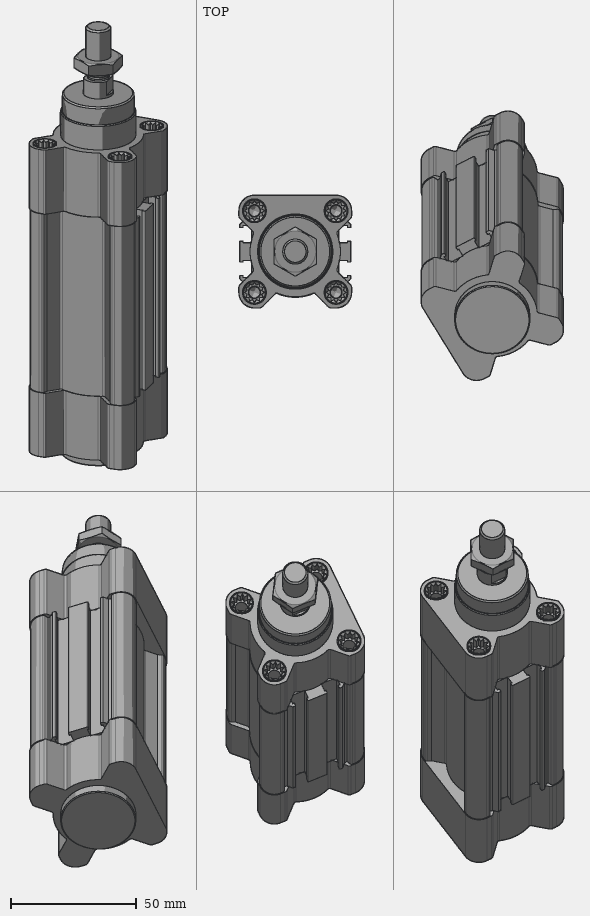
import cadquery as cq
import math


rear_collar_height = 4.0
head_height = 27.9
barrel_height = 78.0
front_collar_height = 10.6
cap_height = 7.6
rod_shoulder_rise = 7.1
stud_length = 22.0

rear_head_z = rear_collar_height
barrel_z = rear_head_z + head_height
front_head_z = barrel_z + barrel_height
front_face_z = front_head_z + head_height
cap_z = front_face_z + front_collar_height
cap_top_z = cap_z + cap_height
shoulder_z = cap_top_z + rod_shoulder_rise
rod_top_z = shoulder_z + stud_length

head_core_dia = 36.0
barrel_core_dia = 36.5
bolt_offset = 16.25

head_width = 45.0
head_corner_radius = head_width / 2 - bolt_offset
head_wedge_start = head_corner_radius * math.sqrt(2)
head_wedge_fillet = 1.5
head_core_fillet = 1.0

barrel_width = 44.3
barrel_half = barrel_width / 2
barrel_corner_radius = barrel_half - bolt_offset
barrel_wedge_start = 6.5
barrel_core_fillet = 1.0
groove_root = 13.6
groove_edge = 14.5
groove_edge_fillet = 1.0
groove_root_out = groove_root + barrel_wedge_start

slot_floor = 17.4
slot_lip = 1.4
slot_mouth_inner = 4.2
slot_mouth_outer = 9.5
slot_edge_fillet = 0.3
slot_undercut_inner = 3.6
slot_undercut_outer = 10.3
lip_edge = 10.8
lip_root = 12.5

collar_dia = 30.0
collar_chamfer = 0.4
cap_end_dia = 28.6
cap_mid_dia = 29.0
cap_chamfer = 0.6

screw_rim_dia = 9.5
screw_head_dia = 8.65
screw_rim_depth = 0.6
spline_entry_depth = 1.0
spline_count = 12
spline_tip_dia = 8.0
spline_root_dia = 6.0
spline_depth = 5.0
thread_bore_dia = 4.92
thread_bore_depth = 8.0
drill_tip_dia = 4.46
drill_tip_depth = 1.3

rod_dia = 12.0
stud_dia = 10.0
stud_tip_dia = 8.57
relief_dia = 8.2
relief_flare_dia = 8.8
relief_flare_height = 0.5
relief_height = 1.4
stud_runout_height = 1.7
flat_width = 10.0
flat_height = 6.0

nut_across_flats = 17.0
nut_across_corners = nut_across_flats / math.cos(math.pi / 6)
nut_height = 5.0
nut_gap = 4.0
nut_face_dia = 16.4
nut_chamfer_angle = 17.0
nut_z = shoulder_z + nut_gap


pick_reach = 0.2
pick_height = barrel_height


def disc(dia, height, z):
    return cq.Workplane("XY", origin=(0, 0, z)).circle(dia / 2).extrude(height)


def rounded_square(width, radius, height, z):
    block = cq.Workplane("XY", origin=(0, 0, z)).rect(width, width).extrude(height)
    return block.edges("|Z").fillet(radius)


def prism_from(points, height, z):
    """Upright prism from (x, y) points; side cutters are drawn on the +Y side."""
    return cq.Workplane("XY", origin=(0, 0, z)).polyline(points).close().extrude(height)


def turned(body, angle):
    return body.rotate((0, 0, 0), (0, 0, 1), angle)


def fillet_upright_edges(body, points, side_angles, radius, z):
    """Fillet the upright edges passing through the +Y side points turned to each side."""
    selected = None
    for angle in side_angles:
        c = math.cos(math.radians(angle))
        s = math.sin(math.radians(angle))
        for across, out in points:
            x = across * c - out * s
            y = across * s + out * c
            box = cq.selectors.BoxSelector((x - pick_reach, y - pick_reach, z - pick_height),
                                           (x + pick_reach, y + pick_reach, z + pick_height))
            selected = box if selected is None else selected + box
    return body.edges("|Z").edges(selected).fillet(radius)


def both_hands(point):
    return [point, (-point[0], point[1])]


def wedge_core_crossing(wedge_start, core_dia):
    """Point where a 45 degree wedge flank meets the round core."""
    radius = core_dia / 2
    across = (math.sqrt(2 * radius**2 - wedge_start**2) - wedge_start) / 2
    return across, across + wedge_start


FRONT, BACK, LEFT, RIGHT = 180, 0, 90, -90


def make_head(z):
    """Square head with its front, left and right sides recessed to the round core."""
    sides = (FRONT, LEFT, RIGHT)
    half = head_width / 2
    wedge = prism_from([(0, head_wedge_start), (half, head_wedge_start + half),
                        (-half, head_wedge_start + half)], head_height, z)
    recess = wedge.cut(disc(head_core_dia, head_height, z))
    head = rounded_square(head_width, head_corner_radius, head_height, z)
    for angle in sides:
        head = head.cut(turned(recess, angle))
    mid_z = z + head_height / 2
    flank_edge = (half - head_wedge_start, half)
    head = fillet_upright_edges(head, both_hands(flank_edge), sides, head_wedge_fillet, mid_z)
    core_edge = wedge_core_crossing(head_wedge_start, head_core_dia)
    return fillet_upright_edges(head, both_hands(core_edge), sides, head_core_fillet, mid_z)


def make_slot_side():
    """Cutters for one slotted side: two undercut sensor slots and two corner grooves."""
    lip_z = barrel_half - slot_lip
    mouth = [(slot_mouth_inner, slot_floor), (slot_mouth_inner, barrel_half),
             (slot_mouth_outer, barrel_half), (slot_mouth_outer, slot_floor)]
    undercut = [(slot_undercut_inner, slot_floor), (slot_undercut_inner, lip_z),
                (slot_undercut_outer, lip_z), (slot_undercut_outer, slot_floor)]
    groove = [(lip_edge, barrel_half), (lip_root, barrel_half - (lip_root - lip_edge)),
              (groove_root, groove_root_out), (groove_edge, barrel_half)]
    cutter = cq.Workplane("XY")
    for outline in (mouth, undercut, groove):
        prism = prism_from(outline, barrel_height, barrel_z)
        cutter = cutter.add(prism).add(prism.mirror("YZ"))
    return cutter.combine()


def make_barrel():
    """Barrel profile: front and back recessed to the core, sensor slots left and right."""
    open_sides = (FRONT, BACK)
    slot_sides = (LEFT, RIGHT)
    wedge = prism_from([(0, barrel_wedge_start), (groove_root, groove_root_out),
                        (groove_edge, barrel_half), (-groove_edge, barrel_half),
                        (-groove_root, groove_root_out)], barrel_height, barrel_z)
    recess = wedge.cut(disc(barrel_core_dia, barrel_height, barrel_z))
    slots = make_slot_side()
    barrel = rounded_square(barrel_width, barrel_corner_radius, barrel_height, barrel_z)
    for angle in open_sides:
        barrel = barrel.cut(turned(recess, angle))
    for angle in slot_sides:
        barrel = barrel.cut(turned(slots, angle))
    mid_z = barrel_z + barrel_height / 2
    lobe_edge = (groove_edge, barrel_half)
    barrel = fillet_upright_edges(barrel, both_hands(lobe_edge), open_sides + slot_sides,
                                  groove_edge_fillet, mid_z)
    slot_edges = both_hands((slot_mouth_inner, barrel_half)) + both_hands((slot_mouth_outer, barrel_half))
    barrel = fillet_upright_edges(barrel, slot_edges, slot_sides, slot_edge_fillet, mid_z)
    core_edge = wedge_core_crossing(barrel_wedge_start, barrel_core_dia)
    return fillet_upright_edges(barrel, both_hands(core_edge), open_sides,
                                barrel_core_fillet, mid_z)


def make_front_nose():
    """Front collar and the slightly barrelled cap on top of it."""
    collar = disc(collar_dia, front_collar_height, front_face_z)
    collar = collar.faces(">Z").edges().chamfer(collar_chamfer)
    cap = (
        cq.Workplane("XZ")
        .moveTo(0, cap_z)
        .lineTo(cap_end_dia / 2, cap_z)
        .threePointArc((cap_mid_dia / 2, cap_z + cap_height / 2),
                       (cap_end_dia / 2, cap_top_z - cap_chamfer))
        .lineTo(cap_end_dia / 2 - cap_chamfer, cap_top_z)
        .lineTo(0, cap_top_z)
        .close()
        .revolve(360, (0, 0), (0, 1))
    )
    return collar.union(cap)


def make_screw_cutters():
    """Cutters for one tie screw on the Z axis: the rim groove, and the splined socket with its bore."""
    rim_floor = front_face_z - screw_rim_depth
    rim = (
        cq.Workplane("XZ")
        .polyline([(screw_head_dia / 2, front_face_z), (screw_rim_dia / 2, front_face_z),
                   (screw_rim_dia / 2, rim_floor)])
        .close()
        .revolve(360, (0, 0), (0, 1))
    )
    entry = (
        cq.Workplane("XZ")
        .polyline([(0, front_face_z), (screw_head_dia / 2, front_face_z),
                   (spline_root_dia / 2, front_face_z - spline_entry_depth),
                   (0, front_face_z - spline_entry_depth)])
        .close()
        .revolve(360, (0, 0), (0, 1))
    )
    spline_points = []
    for i in range(2 * spline_count):
        radius = (spline_tip_dia if i % 2 == 0 else spline_root_dia) / 2
        angle = math.pi * i / spline_count
        spline_points.append((radius * math.cos(angle), radius * math.sin(angle)))
    socket_floor = front_face_z - spline_depth
    socket = prism_from(spline_points, spline_depth, socket_floor)
    bore_floor = socket_floor - thread_bore_depth
    bore = (
        cq.Workplane("XZ")
        .polyline([(0, socket_floor), (thread_bore_dia / 2, socket_floor),
                   (thread_bore_dia / 2, bore_floor),
                   (drill_tip_dia / 2, bore_floor), (0, bore_floor - drill_tip_depth)])
        .close()
        .revolve(360, (0, 0), (0, 1))
    )
    return rim, entry.union(socket).union(bore)


def make_housing():
    """Rear head, barrel, front head and collars with the rod bore and tie screw sockets."""
    rear_collar = disc(collar_dia, rear_collar_height, 0).faces("<Z").edges().chamfer(collar_chamfer)
    housing = make_head(rear_head_z).union(rear_collar).union(make_barrel())
    housing = housing.union(make_head(front_head_z)).union(make_front_nose())
    for x in (-bolt_offset, bolt_offset):
        for y in (-bolt_offset, bolt_offset):
            for cutter in make_screw_cutters():
                housing = housing.cut(cutter.translate((x, y, 0)))
    return housing.cut(disc(rod_dia, cap_top_z - front_head_z, front_head_z))


def make_rod():
    """Piston rod with wrench flats, thread relief and chamfered stud."""
    relief_top = shoulder_z + relief_height
    tip_chamfer = (stud_dia - stud_tip_dia) / 2
    rod = (
        cq.Workplane("XZ")
        .polyline([
            (0, front_head_z),
            (rod_dia / 2, front_head_z),
            (rod_dia / 2, shoulder_z),
            (relief_flare_dia / 2, shoulder_z),
            (relief_dia / 2, shoulder_z + relief_flare_height),
            (relief_dia / 2, relief_top),
            (stud_tip_dia / 2, relief_top),
            (stud_dia / 2, relief_top + stud_runout_height),
            (stud_dia / 2, rod_top_z - tip_chamfer),
            (stud_tip_dia / 2, rod_top_z),
            (0, rod_top_z),
        ])
        .close()
        .revolve(360, (0, 0), (0, 1))
    )
    flats_z = shoulder_z - flat_height
    wrench_section = disc(rod_dia, flat_height, flats_z)
    flat_core = cq.Workplane("XY", origin=(0, 0, flats_z)).rect(flat_width, rod_dia).extrude(flat_height)
    return rod.cut(wrench_section.cut(flat_core))


def make_nut():
    """Hexagon lock nut with flats facing X and cone-chamfered corners on both faces."""
    nut = cq.Workplane("XY", origin=(0, 0, nut_z)).polygon(6, nut_across_corners).extrude(nut_height)
    nut = turned(nut, 30)
    corner_radius = nut_across_corners / 2
    face_radius = nut_face_dia / 2
    drop = (corner_radius - face_radius) * math.tan(math.radians(nut_chamfer_angle))
    nut_top = nut_z + nut_height
    envelope = (
        cq.Workplane("XZ")
        .polyline([(0, nut_z), (face_radius, nut_z), (corner_radius, nut_z + drop),
                   (corner_radius, nut_top - drop), (face_radius, nut_top), (0, nut_top)])
        .close()
        .revolve(360, (0, 0), (0, 1))
    )
    return nut.intersect(envelope).cut(disc(stud_dia, nut_height, nut_z))


housing = make_housing()
rod = make_rod()
nut = make_nut()

result = cq.Compound.makeCompound([housing.val(), rod.val(), nut.val()])